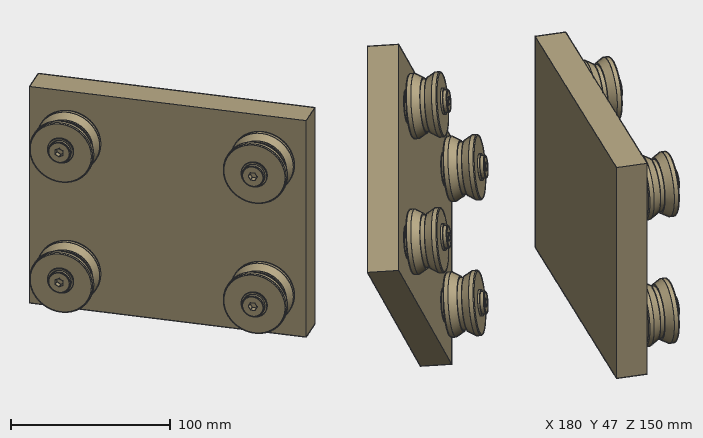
import cadquery as cq
import math

PLATE_WIDTH = 180.0
PLATE_HEIGHT = 150.0
PLATE_THICKNESS = 20.0

SCREW_SPACING_X = 126.0
SCREW_SPACING_Z = 90.0

ECCENTRIC_DROP = 2.0

STACK_HEIGHT = 27.0
SPACER_DIAMETER = 22.1
SPACER_THICKNESS = 3.0
SPACER_CHAMFER = 0.5
WHEEL_WIDTH = 20.0
WASHER_DIAMETER = 16.7
WASHER_THICKNESS = 1.3
HEAD_DIAMETER = 14.4
HEAD_CHAMFER = 0.5
HEAD_HEIGHT = STACK_HEIGHT - SPACER_THICKNESS - WHEEL_WIDTH - WASHER_THICKNESS

RIM_DIAMETER = 41.0
RIM_WIDTH = 3.5
RIM_CHAMFER = 0.63
FLANK_INNER_DIAMETER = 35.1
GROOVE_DIAMETER = 33.1
GROOVE_WIDTH = 2.9

SOCKET_ACROSS_FLATS = 5.0
SOCKET_DEPTH = 4.0


def disc(x, z, diameter, start, thickness):
    """Cylinder along -Y that begins at the given distance from the plate."""
    return (
        cq.Workplane("XZ", origin=(x, -start, z))
        .circle(diameter / 2)
        .extrude(thickness)
    )


def wheel(x, z):
    """Grooved wheel, revolved about an axis parallel to Y through (x, z)."""
    middle = SPACER_THICKNESS + WHEEL_WIDTH / 2
    half_width = WHEEL_WIDTH / 2
    half_groove = GROOVE_WIDTH / 2
    rim_radius = RIM_DIAMETER / 2
    half_profile = [
        (rim_radius - RIM_CHAMFER, half_width),
        (rim_radius, half_width - RIM_CHAMFER),
        (rim_radius, half_width - RIM_WIDTH),
        (FLANK_INNER_DIAMETER / 2, half_groove),
        (GROOVE_DIAMETER / 2, half_groove),
    ]
    mirrored_profile = [(radius, -offset) for radius, offset in reversed(half_profile)]
    outline = [(0, half_width)] + half_profile + mirrored_profile + [(0, -half_width)]
    return (
        cq.Workplane("XY", origin=(x, -middle, z))
        .polyline(outline)
        .close()
        .revolve(360, (0, 0, 0), (0, 1, 0))
    )


def screw_and_washer(x, z, socket_angle):
    """Washer and round screw head with a hexagon socket turned by socket_angle."""
    washer_start = SPACER_THICKNESS + WHEEL_WIDTH
    head_start = washer_start + WASHER_THICKNESS
    washer = disc(x, z, WASHER_DIAMETER, washer_start, WASHER_THICKNESS)
    head = disc(x, z, HEAD_DIAMETER, head_start, HEAD_HEIGHT)
    head = head.faces("<Y").edges().chamfer(HEAD_CHAMFER)
    socket = (
        cq.Workplane("XZ", origin=(x, -STACK_HEIGHT, z))
        .transformed(rotate=(0, 0, socket_angle))
        .polygon(6, SOCKET_ACROSS_FLATS / math.cos(math.pi / 6))
        .extrude(-SOCKET_DEPTH)
    )
    return washer.union(head).cut(socket)


def roller(x, screw_z, drop, socket_angle):
    """Complete roller: spacer and wheel share an axis that lies below the screw by drop."""
    wheel_z = screw_z - drop
    spacer = disc(x, wheel_z, SPACER_DIAMETER, 0, SPACER_THICKNESS)
    spacer = spacer.faces(">Y").edges().chamfer(SPACER_CHAMFER)
    return spacer.union(wheel(x, wheel_z)).union(screw_and_washer(x, screw_z, socket_angle))


result = cq.Workplane("XY", origin=(0, PLATE_THICKNESS / 2, 0)).box(
    PLATE_WIDTH, PLATE_THICKNESS, PLATE_HEIGHT
)

for screw_z in (-SCREW_SPACING_Z / 2, SCREW_SPACING_Z / 2):
    result = result.union(roller(-SCREW_SPACING_X / 2, screw_z, ECCENTRIC_DROP, 90))
    result = result.union(roller(SCREW_SPACING_X / 2, screw_z, 0, 0))